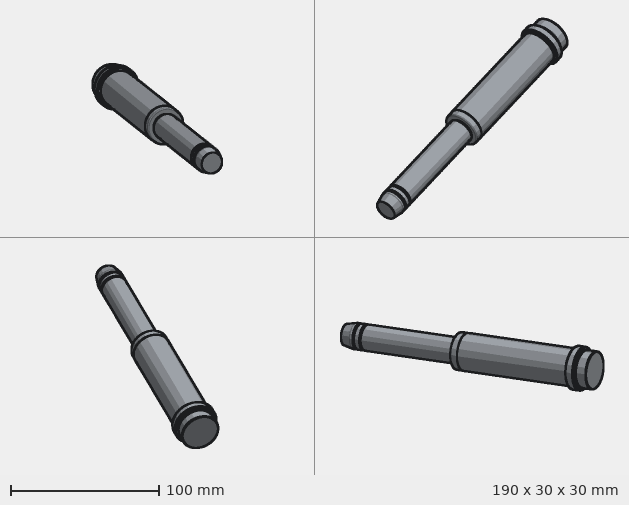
import cadquery as cq

total_length = 190.0

body_diameter = 26.0
body_end = 104.0
land_fillet = 0.8
head_chamfer = 0.4
land_start = 98.5
land_diameter = 25.8

collar_diameter = 30.0
collar_start = 9.0
collar_end = 15.0
collar_chamfer = 0.5
undercut_depth = 0.28
front_undercut_width = 1.1
rear_undercut_width = 0.5

pin_diameter = 18.0
neck_width = 0.5
groove_starts = (174.0, 179.2)
groove_width = 1.1
groove_depth = 0.1

tip_start = 182.5
tip_diameter = 14.8


def cylinder(start, end, diameter):
    """Solid cylinder along X between two stations."""
    return cq.Workplane("YZ", origin=(start, 0, 0)).circle(diameter / 2).extrude(end - start)


def ring_groove(start, width, surface_diameter, depth):
    """Ring to cut from a cylindrical surface."""
    outer = cylinder(start, start + width, surface_diameter)
    return outer.cut(cylinder(start, start + width, surface_diameter - 2 * depth))


body = cylinder(0, land_start, body_diameter).faces("<X").chamfer(head_chamfer)
body = body.cut(
    ring_groove(collar_start - front_undercut_width, front_undercut_width, body_diameter, undercut_depth)
)
body = body.cut(ring_groove(collar_end, rear_undercut_width, body_diameter, undercut_depth))

land = cylinder(land_start, body_end, land_diameter).faces(">X").fillet(land_fillet)

collar = cylinder(collar_start, collar_end, collar_diameter).faces("<X or >X").chamfer(collar_chamfer)

pin = cylinder(body_end, tip_start, pin_diameter)
pin = pin.cut(ring_groove(body_end, neck_width, pin_diameter, groove_depth))
for groove_start in groove_starts:
    pin = pin.cut(ring_groove(groove_start, groove_width, pin_diameter, groove_depth))

tip = (
    cq.Workplane("YZ", origin=(tip_start, 0, 0))
    .circle(pin_diameter / 2)
    .workplane(offset=total_length - tip_start)
    .circle(tip_diameter / 2)
    .loft()
)

result = body.union(land).union(collar).union(pin).union(tip)